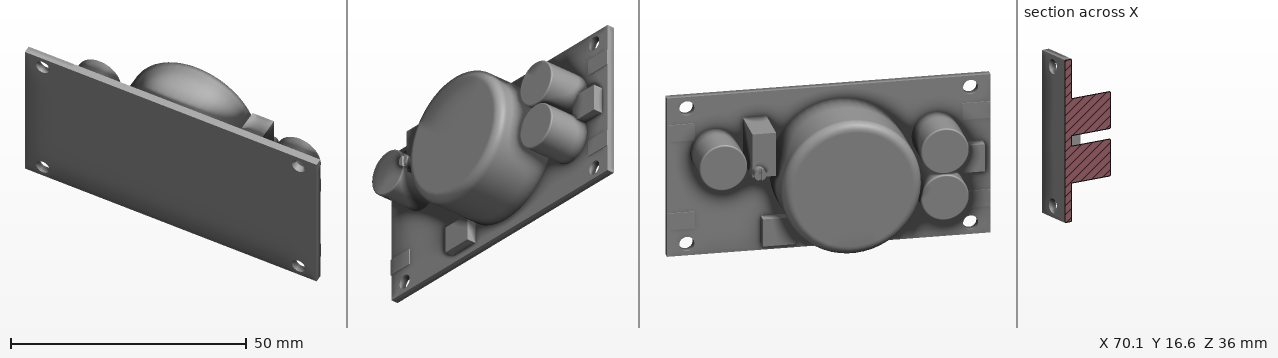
import cadquery as cq

BOARD_LENGTH = 70.0
BOARD_HEIGHT = 36.0
BOARD_THICKNESS = 1.75

HOLE_DIAMETER = 3.2
HOLE_SPACING_X = 61.4
HOLE_SPACING_Z = 30.85

PAD_LENGTH = 6.1
PAD_WIDTH = 3.8
PAD_THICKNESS = 0.2
PAD_CENTER_Z = 10.0
PAD_OVERHANG = 0.1
PAD_CENTERS_X = (
    (PAD_LENGTH - BOARD_LENGTH) / 2,
    (BOARD_LENGTH - PAD_LENGTH) / 2 + PAD_OVERHANG,
)

INDUCTOR_DIAMETER = 30.1
INDUCTOR_HEIGHT = 14.85
INDUCTOR_FILLET = 2.0
INDUCTOR_CENTER = (-2.2, 0)

CAPACITOR_DIAMETER = 10.4
CAPACITOR_HEIGHT = 9.9
CAPACITOR_FILLET = 0.35
UPPER_CAPACITOR_Z = 5.1
LOWER_CAPACITOR_Z = -5.4
LEFT_CAPACITOR_X = -23.1
RIGHT_CAPACITOR_X = 24.8
CAPACITOR_CENTERS = (
    (LEFT_CAPACITOR_X, UPPER_CAPACITOR_Z),
    (LEFT_CAPACITOR_X, LOWER_CAPACITOR_Z),
    (RIGHT_CAPACITOR_X, UPPER_CAPACITOR_Z),
)

CHIP_LENGTH = 7.0
CHIP_WIDTH = 6.2
CHIP_HEIGHT = 2.3
LEFT_CHIP_MIN_X = -33.3
LOWER_CHIP_MAX_X = 14.7
LOWER_CHIP_MIN_Z = -16.4
CHIP_CENTERS = (
    (LEFT_CHIP_MIN_X + CHIP_LENGTH / 2, 0),
    (LOWER_CHIP_MAX_X - CHIP_LENGTH / 2, LOWER_CHIP_MIN_Z + CHIP_WIDTH / 2),
)

TRIMMER_WIDTH = 5.1
TRIMMER_LENGTH = 9.8
TRIMMER_HEIGHT = 9.95
TRIMMER_MIN_X = 13.45
TRIMMER_MAX_Z = 12.3
SCREW_DIAMETER = 2.6
SCREW_HEIGHT = 2.2
SLOT_WIDTH = 0.6
SLOT_DEPTH = 0.6


def face_plane(height=0):
    """Workplane parallel to the component face, facing +Y; local x is Z and local y is X."""
    origin = (0, BOARD_THICKNESS + height, 0)
    return cq.Workplane(cq.Plane(origin=origin, xDir=(0, 0, 1), normal=(0, 1, 0)))


def block(center, size_x, size_z, height):
    """Rectangular component centred at (X, Z) on the component face."""
    x, z = center
    return face_plane().center(z, x).rect(size_z, size_x).extrude(height)


def cylinder(center, diameter, height, base_height=0):
    """Round component centred at (X, Z), starting base_height above the component face."""
    x, z = center
    return face_plane(base_height).center(z, x).circle(diameter / 2).extrude(height)


def rounded_cylinder(center, diameter, height, fillet):
    """Round component with a filleted outer rim."""
    return cylinder(center, diameter, height).faces(">Y").edges().fillet(fillet)


def make_board():
    """Plain plate with its four mounting holes."""
    plate = face_plane().rect(BOARD_HEIGHT, BOARD_LENGTH).extrude(-BOARD_THICKNESS)
    holes = (
        face_plane()
        .rect(HOLE_SPACING_Z, HOLE_SPACING_X, forConstruction=True)
        .vertices()
        .circle(HOLE_DIAMETER / 2)
        .extrude(-BOARD_THICKNESS)
    )
    return plate.cut(holes)


def make_trimmer():
    """Trimmer body with its slotted screw."""
    max_x = TRIMMER_MIN_X + TRIMMER_WIDTH
    min_z = TRIMMER_MAX_Z - TRIMMER_LENGTH
    body_center = (max_x - TRIMMER_WIDTH / 2, min_z + TRIMMER_LENGTH / 2)
    screw_center = (max_x - SCREW_DIAMETER / 2, min_z + SCREW_DIAMETER / 2)

    body = block(body_center, TRIMMER_WIDTH, TRIMMER_LENGTH, TRIMMER_HEIGHT)
    screw = cylinder(screw_center, SCREW_DIAMETER, SCREW_HEIGHT, TRIMMER_HEIGHT)
    slot = (
        face_plane(TRIMMER_HEIGHT + SCREW_HEIGHT)
        .center(screw_center[1], screw_center[0])
        .rect(SCREW_DIAMETER, SLOT_WIDTH)
        .extrude(-SLOT_DEPTH)
    )
    return body.union(screw.cut(slot))


result = make_board()
for pad_x in PAD_CENTERS_X:
    for pad_z in (-PAD_CENTER_Z, PAD_CENTER_Z):
        result = result.union(block((pad_x, pad_z), PAD_LENGTH, PAD_WIDTH, PAD_THICKNESS))

result = result.union(
    rounded_cylinder(INDUCTOR_CENTER, INDUCTOR_DIAMETER, INDUCTOR_HEIGHT, INDUCTOR_FILLET)
)
for chip_center in CHIP_CENTERS:
    result = result.union(block(chip_center, CHIP_LENGTH, CHIP_WIDTH, CHIP_HEIGHT))
for capacitor_center in CAPACITOR_CENTERS:
    result = result.union(
        rounded_cylinder(capacitor_center, CAPACITOR_DIAMETER, CAPACITOR_HEIGHT, CAPACITOR_FILLET)
    )
result = result.union(make_trimmer())